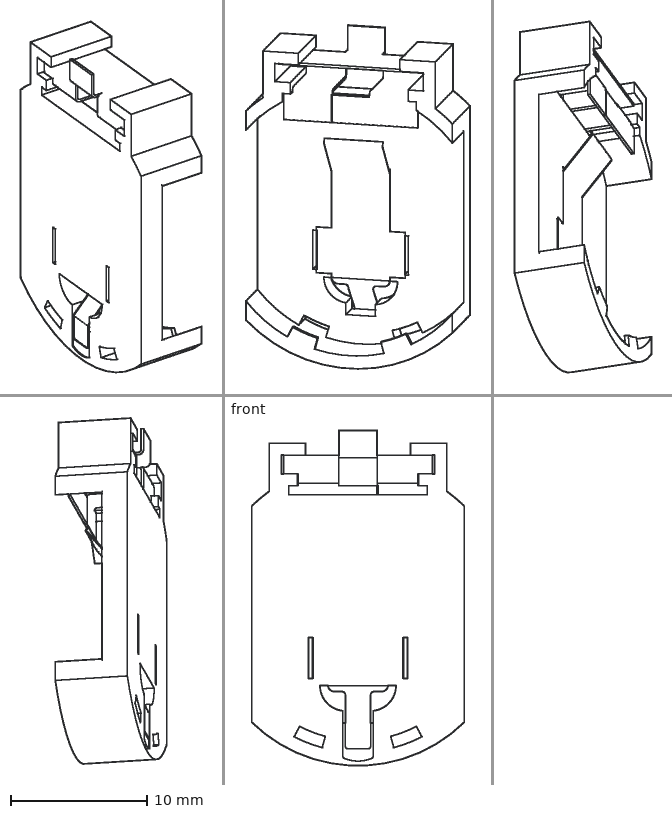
import cadquery as cq
import math


HEIGHT = 24.6
HALF_WIDTH = 7.8
DEPTH = 5.4
OUTER_RADIUS = 11.12
CELL_Z = OUTER_RADIUS
FLOOR = 1.9
POCKET_RADIUS = 10.15

ARM_TOP = 23.67
ARM_OUTER = 6.52
ARM_INNER = 3.85

SLOT_TOP = 22.8
SLOT_LEDGE = 21.4
SLOT_STEP = 20.55
SLOT_BOTTOM = 19.88
WIDE_HALF = 5.6
NECK_HALF = 4.45
BASE_HALF = 5.07
SLOT_STEPS = [
    (WIDE_HALF, SLOT_LEDGE, SLOT_TOP),
    (NECK_HALF, SLOT_STEP, SLOT_LEDGE),
    (BASE_HALF, SLOT_BOTTOM, SLOT_STEP),
]

LIP_RADIUS = 9.28
LIP_START = 15.0
LIP_END = 27.5
LIP_THICKNESS = 0.3

SIDE_SLOT_INNER = 3.3
SIDE_SLOT_WIDTH = 0.32
SIDE_SLOT_BOTTOM = 6.42
SIDE_SLOT_TOP = 9.4
OPENING_HALF = 2.78
OPENING_TOP = 5.88
OPENING_HEIGHT = 1.85
TAIL_SLOT_HALF = 1.1
TAIL_SLOT_BOTTOM = 3.15
GROOVE_CORNER_Z = 0.6
GROOVE_BOTTOM = 0.35
GROOVE_CORNER_RADIUS = 0.17

UPPER_THICKNESS = 0.2
UPPER_BEND = 0.3
SHEET_BACK = 4.8
SHEET_HALF = 5.46
LEG_OUTER = 4.4
LEG_INNER = 1.4
FLANGE_FRONT = 0.52
LEG_BOTTOM = 20.75
PLATE_BACK = 4.95
PLATE_BOTTOM = 18.45
SLIT_WIDTH = 0.07

LOWER_THICKNESS = 0.07
LOWER_BEND = 0.07
BASE_STRIP_HALF = 2.21
BASE_BOTTOM = 5.45
BASE_CORNER_RADIUS = 0.5
WING_HALF = 3.37
WING_MARGIN = 0.25
LEAF_BEND_Z = 13.95
LEAF_PEAK = (4.15, 16.65)
LEAF_TIP = (3.99, 16.98)
LEAF_CLEARANCE = 0.4
TAIL_HALF = 0.94
TAIL_ROOT_RADIUS = 0.25
TAIL_BOTTOM = 1.25
TAIL_CORNER_RADIUS = 0.2
TAIL_LOWER_BEND_Z = 3.27
TAIL_UPPER_BEND_Z = 5.15


def block(x_range, y_range, z_range):
    """A box between two limits along each axis."""
    size = [high - low for low, high in (x_range, y_range, z_range)]
    return cq.Workplane("XY").box(*size, centered=False).translate((x_range[0], y_range[0], z_range[0]))


def front_sketch(y=0):
    """A workplane parallel to the front face; extruding by a negative length goes toward the back."""
    return cq.Workplane("XZ", origin=(0, y, 0))


def bent_strip(path, x_range, thickness, bend):
    """A sheet strip bent along a path of (Y, Z) corners at mid-thickness."""
    x_low, x_high = x_range
    spine = cq.Wire.makePolygon([cq.Vector(x_low, y, z) for y, z in path])
    if len(path) > 2:
        spine = spine.fillet(bend)
    start = cq.Vector(x_low, *path[0])
    direction = cq.Vector(x_low, *path[1]) - start
    plane = cq.Plane(origin=start, xDir=(1, 0, 0), normal=direction)
    width = x_high - x_low
    section = cq.Workplane(plane).center(width / 2, 0).rect(width, thickness)
    return section.sweep(cq.Workplane(spine))


def lip_sector(side, y_start, y_end):
    """A ring sector along the bottom of the cell pocket."""

    def polar(radius, degrees):
        angle = math.radians(degrees)
        return (side * radius * math.sin(angle), CELL_Z - radius * math.cos(angle))

    middle = (LIP_START + LIP_END) / 2
    return (
        front_sketch(y_start)
        .moveTo(*polar(LIP_RADIUS, LIP_START))
        .threePointArc(polar(LIP_RADIUS, middle), polar(LIP_RADIUS, LIP_END))
        .lineTo(*polar(POCKET_RADIUS, LIP_END))
        .threePointArc(polar(POCKET_RADIUS, middle), polar(POCKET_RADIUS, LIP_START))
        .close()
        .extrude(y_start - y_end)
    )


def make_outer_body():
    """A disc with flat sides, cut off level at the shoulders, below the block that forms the arms."""
    disc = front_sketch().center(0, CELL_Z).circle(OUTER_RADIUS).extrude(-DEPTH)
    sides = block((-HALF_WIDTH, HALF_WIDTH), (0, DEPTH), (0, ARM_TOP))
    shoulder_z = CELL_Z + math.sqrt(OUTER_RADIUS**2 - ARM_OUTER**2)
    below_shoulders = block((-HALF_WIDTH, HALF_WIDTH), (0, DEPTH), (0, shoulder_z))
    arms = block((-ARM_OUTER, ARM_OUTER), (0, DEPTH), (CELL_Z, ARM_TOP))
    return disc.intersect(sides).intersect(below_shoulders).union(arms)


def cut_upper_contact_slot(body):
    """Cut the stepped slot and the gap between the arms, from front to back."""
    for half_width, bottom, top in SLOT_STEPS:
        body = body.cut(block((-half_width, half_width), (0, DEPTH), (bottom, top)))
    return body.cut(block((-ARM_INNER, ARM_INNER), (0, DEPTH), (SLOT_LEDGE, ARM_TOP)))


def make_tail_opening():
    """The opening with round lower corners, and the slot and groove for the solder tail."""
    left = -OPENING_HALF
    corner = OPENING_HEIGHT * (1 - math.cos(math.radians(45)))
    bottom = OPENING_TOP - OPENING_HEIGHT
    opening = (
        front_sketch()
        .moveTo(left, OPENING_TOP)
        .threePointArc((left + corner, bottom + corner), (left + OPENING_HEIGHT, bottom))
        .lineTo(-left - OPENING_HEIGHT, bottom)
        .threePointArc((-left - corner, bottom + corner), (-left, OPENING_TOP))
        .close()
        .extrude(-FLOOR)
    )
    slot = block((-TAIL_SLOT_HALF, TAIL_SLOT_HALF), (0, FLOOR), (TAIL_SLOT_BOTTOM, OPENING_TOP))
    groove = (
        front_sketch()
        .moveTo(-TAIL_SLOT_HALF, TAIL_SLOT_BOTTOM)
        .lineTo(-TAIL_SLOT_HALF, GROOVE_CORNER_Z)
        .threePointArc((0, GROOVE_BOTTOM), (TAIL_SLOT_HALF, GROOVE_CORNER_Z))
        .lineTo(TAIL_SLOT_HALF, TAIL_SLOT_BOTTOM)
        .close()
        .extrude(-LOWER_THICKNESS)
    )
    lower_corners = cq.selectors.BoxSelector(
        (-HALF_WIDTH, -FLOOR, 0), (HALF_WIDTH, FLOOR, GROOVE_CORNER_Z + GROOVE_CORNER_RADIUS)
    )
    groove = groove.edges("|Y").edges(lower_corners).fillet(GROOVE_CORNER_RADIUS)
    return opening.union(slot).union(groove)


def make_lower_contact_seat():
    """The shallow recess in the pocket floor that holds the lower contact flush."""
    y_range = (FLOOR - LOWER_THICKNESS, FLOOR)
    strip = block((-BASE_STRIP_HALF, BASE_STRIP_HALF), y_range, (BASE_BOTTOM, LEAF_BEND_Z + LEAF_CLEARANCE))
    return strip.union(make_wings())


def make_wings():
    """Side wings of the lower contact, flush with the pocket floor and reaching over the side slots."""
    return block(
        (-WING_HALF, WING_HALF),
        (FLOOR - LOWER_THICKNESS, FLOOR),
        (SIDE_SLOT_BOTTOM - WING_MARGIN, SIDE_SLOT_TOP + WING_MARGIN),
    )


def make_housing():
    """The outer body with its cell pocket, contact slots, front openings and retaining lips."""
    body = make_outer_body()
    pocket = front_sketch(FLOOR).center(0, CELL_Z).circle(POCKET_RADIUS).extrude(FLOOR - DEPTH)
    body = cut_upper_contact_slot(body.cut(pocket))
    body = body.cut(make_tail_opening()).cut(make_lower_contact_seat())
    for side in (-1, 1):
        slot_edges = sorted((side * SIDE_SLOT_INNER, side * (SIDE_SLOT_INNER + SIDE_SLOT_WIDTH)))
        body = body.cut(block(slot_edges, (0, FLOOR), (SIDE_SLOT_BOTTOM, SIDE_SLOT_TOP)))
        body = body.cut(lip_sector(side, 0, FLOOR))
        body = body.union(lip_sector(side, DEPTH - LIP_THICKNESS, DEPTH))
    return body


def make_upper_contact():
    """A folded sheet: top, raised solder tab, two front flanges with return legs, and a back plate."""
    half_thickness = UPPER_THICKNESS / 2
    sheet_z = SLOT_TOP - half_thickness
    flange_y = FLANGE_FRONT + half_thickness
    leg_z = LEG_BOTTOM + half_thickness
    plate_y = PLATE_BACK - half_thickness
    plate_top = leg_z - UPPER_BEND

    tab_path = [(SHEET_BACK, sheet_z), (half_thickness, sheet_z), (half_thickness, HEIGHT)]
    flange_path = [(SHEET_BACK, sheet_z), (flange_y, sheet_z), (flange_y, SLOT_LEDGE)]
    leg_path = flange_path[:2] + [(flange_y, leg_z), (plate_y, leg_z), (plate_y, PLATE_BOTTOM)]

    contact = bent_strip(tab_path, (-LEG_INNER, LEG_INNER), UPPER_THICKNESS, UPPER_BEND)
    for side in (-1, 1):
        leg_edges = sorted((side * LEG_INNER, side * LEG_OUTER))
        flange_edges = sorted((side * LEG_INNER, side * SHEET_HALF))
        contact = contact.union(bent_strip(leg_path, leg_edges, UPPER_THICKNESS, UPPER_BEND))
        contact = contact.union(bent_strip(flange_path, flange_edges, UPPER_THICKNESS, UPPER_BEND))

    plate_depth = (PLATE_BACK - UPPER_THICKNESS, PLATE_BACK)
    plate_height = (PLATE_BOTTOM, plate_top)
    plate = block((-BASE_HALF, BASE_HALF), plate_depth, plate_height)
    slit = block((LEG_INNER, LEG_INNER + SLIT_WIDTH), plate_depth, plate_height)
    return contact.union(plate).cut(slit)


def make_lower_contact():
    """A flat base with wings, a raised spring leaf, and a solder tail bent to the front face."""
    half_thickness = LOWER_THICKNESS / 2
    base_y = FLOOR - half_thickness
    tail_y = half_thickness

    leaf_path = [(base_y, BASE_BOTTOM), (base_y, LEAF_BEND_Z), LEAF_PEAK, LEAF_TIP]
    leaf_edges = (-BASE_STRIP_HALF, BASE_STRIP_HALF)
    leaf = bent_strip(leaf_path, leaf_edges, LOWER_THICKNESS, LOWER_BEND)
    leaf = leaf.faces("<Z").edges("|Y").fillet(BASE_CORNER_RADIUS)

    tail_path = [
        (tail_y, TAIL_BOTTOM),
        (tail_y, TAIL_LOWER_BEND_Z),
        (base_y, TAIL_UPPER_BEND_Z),
        (base_y, OPENING_TOP),
    ]
    tail = bent_strip(tail_path, (-TAIL_HALF, TAIL_HALF), LOWER_THICKNESS, LOWER_BEND)
    tail = tail.faces("<Z").edges("|Y").fillet(TAIL_CORNER_RADIUS)
    contact = leaf.union(make_wings()).union(tail)
    root_corners = cq.selectors.BoxSelector(
        (-TAIL_SLOT_HALF, 0, BASE_BOTTOM - TAIL_ROOT_RADIUS),
        (TAIL_SLOT_HALF, FLOOR, BASE_BOTTOM + TAIL_ROOT_RADIUS),
    )
    return contact.edges("|Y").edges(root_corners).fillet(TAIL_ROOT_RADIUS)


housing = make_housing()
upper_contact = make_upper_contact()
lower_contact = make_lower_contact()

result = cq.Compound.makeCompound([housing.val(), upper_contact.val(), lower_contact.val()])